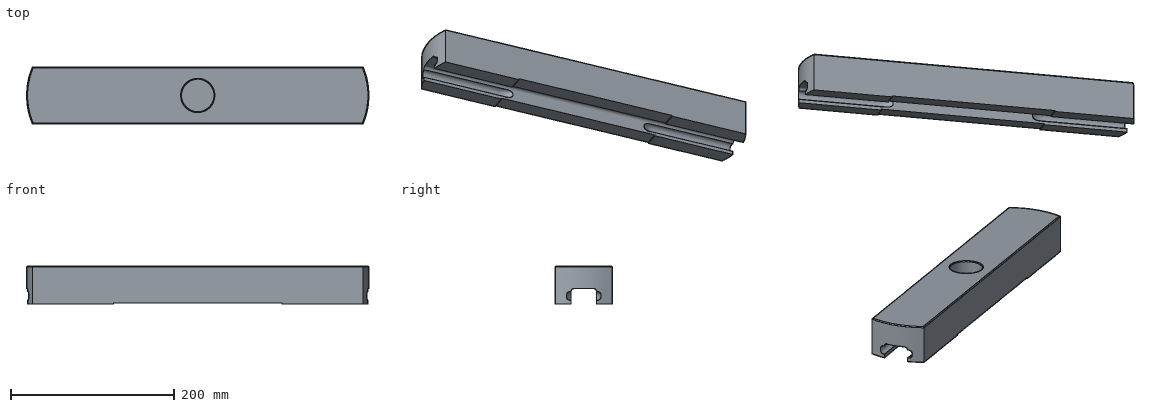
import cadquery as cq

length = 419.0
width = 70.0
height = 47.0
end_bow = 7.0
top_chamfer = 1.3

hole_diameter = 40.0
hole_depth = 22.0
hole_chamfer = 1.05

channel_width = 31.0
channel_height = 19.0
channel_corner_radius = 3.5
undercut_width = 42.7
undercut_height = 11.0
undercut_bottom = 4.5
undercut_radius = 5.0

relief_length = 206.0
relief_depth = 1.3


def make_bar():
    side_x = length / 2 - end_bow
    side_y = width / 2
    bar = (
        cq.Workplane("XY")
        .moveTo(-side_x, -side_y)
        .lineTo(side_x, -side_y)
        .threePointArc((length / 2, 0), (side_x, side_y))
        .lineTo(-side_x, side_y)
        .threePointArc((-length / 2, 0), (-side_x, -side_y))
        .close()
        .extrude(height)
    )
    return bar.faces(">Z").chamfer(top_chamfer)


def make_box(size_x, size_y, size_z):
    """Box centred in X and Y, standing on the underside plane."""
    return cq.Workplane("XY").box(size_x, size_y, size_z, centered=(True, True, False))


def make_undercut_bar():
    """Rounded undercut section running the full length."""
    return (
        make_box(length, undercut_width, undercut_height)
        .edges("|X")
        .fillet(undercut_radius)
        .translate((0, 0, undercut_bottom))
    )


def make_undercut_end():
    """Inner end of an undercut: its section turned about a vertical axis."""
    return (
        cq.Workplane("XY")
        .circle(undercut_width / 2)
        .extrude(undercut_height)
        .edges()
        .fillet(undercut_radius)
        .translate((0, 0, undercut_bottom))
    )


def make_channel():
    opening = make_box(length, channel_width, channel_height)
    opening = opening.edges("|X and >Z").fillet(channel_corner_radius)
    undercuts = make_undercut_bar().cut(make_box(relief_length, width, height))
    channel = opening.union(undercuts)
    for side in (-1, 1):
        channel = channel.union(make_undercut_end().translate((side * relief_length / 2, 0, 0)))
    return channel


def make_hole():
    hole = cq.Workplane("XY").workplane(offset=height).circle(hole_diameter / 2).extrude(-hole_depth)
    countersink = cq.Solid.makeCone(
        hole_diameter / 2,
        hole_diameter / 2 + hole_chamfer,
        hole_chamfer,
        pnt=cq.Vector(0, 0, height - hole_chamfer),
    )
    return hole.union(cq.Workplane(countersink))


relief = make_box(relief_length, width, relief_depth)
result = make_bar().cut(make_channel()).cut(relief).cut(make_hole())